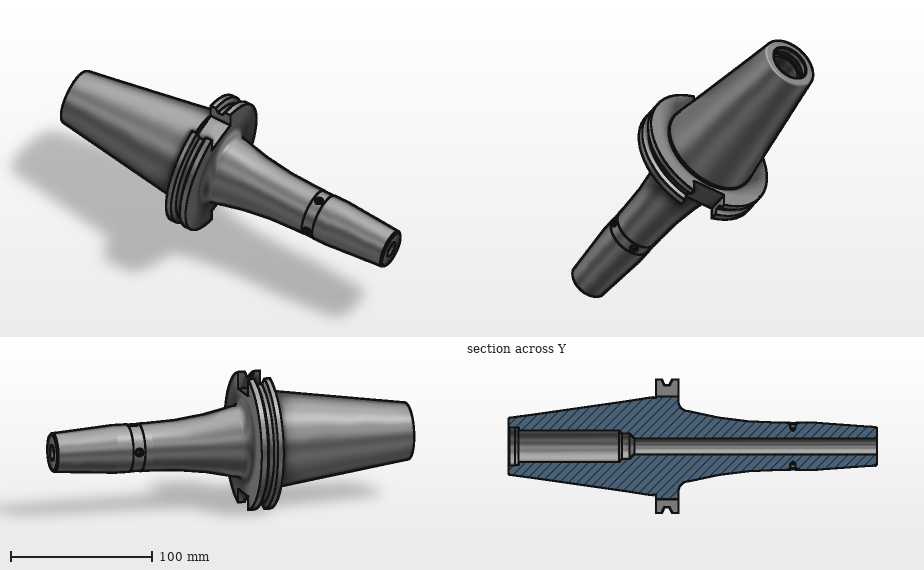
import cadquery as cq
import math

total_length = 261.5
taper_end = 101.8
relief_start = 102.8
flange_start = 104.6
flange_end = 120.9
fillet_end = 127.7
neck_end = 191.5
collar_start = 197.5
collar_end = 206.1
nose_start = 217.0

taper_small_radius = 20.27
taper_large_radius = 34.92
taper_edge_radius = 1.5
relief_radius = 34.5

flange_radius = 49.2
groove_radius = 45.3
groove_floor_width = 3.7
groove_mouth_width = 7.3
groove_center = 112.5
slot_width = 25.6
upper_slot_floor = 35.3
lower_slot_floor = 37.7

neck_start_radius = 25.0
nose_radius = 17.0
collar_radius = 16.7
nose_tip_radius = 13.9
tip_chamfer = 1.0

entry_radius = 14.0
entry_chamfer = 0.65
counterbore_radius = 13.3
counterbore_depth = 4.7
pilot_radius = 13.2
pilot_depth = 7.3
main_bore_radius = 11.12
main_bore_depth = 78.5
seat_radius = 9.03
seat_length = 5.2
through_radius = 5.5

screw_hole_count = 4
screw_mouth_radius = 2.75
screw_mouth_depth = 0.5
screw_hole_radius = 1.8
screw_hole_depth = 4.0


def make_body():
    """Revolve the outer outline; each point is (axial place, radius)."""
    taper_slope = (taper_large_radius - taper_small_radius) / taper_end
    edge_end_radius = taper_small_radius + taper_slope * taper_edge_radius
    edge_face_radius = edge_end_radius - taper_edge_radius
    diagonal = math.sqrt(0.5)
    edge_mid = (
        taper_edge_radius * (1 - diagonal),
        edge_face_radius + taper_edge_radius * diagonal,
    )

    neck_length = neck_end - fillet_end
    neck_drop = neck_start_radius - nose_radius
    neck_arc_radius = (neck_length**2 + neck_drop**2) / (2 * neck_drop)
    neck_angle = math.asin(neck_length / neck_arc_radius)
    neck_mid = (
        neck_end - neck_arc_radius * math.sin(neck_angle / 2),
        nose_radius + neck_arc_radius * (1 - math.cos(neck_angle / 2)),
    )

    fillet_radius = fillet_end - flange_end
    fillet_face_radius = neck_start_radius + fillet_radius
    fillet_mid = (
        fillet_end - fillet_radius * diagonal,
        fillet_face_radius - fillet_radius * diagonal,
    )

    outline = (
        cq.Workplane("XY")
        .moveTo(0, 0)
        .lineTo(0, edge_face_radius)
        .threePointArc(edge_mid, (taper_edge_radius, edge_end_radius))
        .lineTo(taper_end, taper_large_radius)
        .lineTo(relief_start, taper_large_radius)
        .lineTo(relief_start, relief_radius)
        .lineTo(flange_start, relief_radius)
        .lineTo(flange_start, flange_radius)
        .lineTo(groove_center - groove_mouth_width / 2, flange_radius)
        .lineTo(groove_center - groove_floor_width / 2, groove_radius)
        .lineTo(groove_center + groove_floor_width / 2, groove_radius)
        .lineTo(groove_center + groove_mouth_width / 2, flange_radius)
        .lineTo(flange_end, flange_radius)
        .lineTo(flange_end, fillet_face_radius)
        .threePointArc(fillet_mid, (fillet_end, neck_start_radius))
        .threePointArc(neck_mid, (neck_end, nose_radius))
        .lineTo(collar_start, nose_radius)
        .lineTo(collar_start, collar_radius)
        .lineTo(collar_end, collar_radius)
        .lineTo(collar_end, nose_radius)
        .lineTo(nose_start, nose_radius)
        .lineTo(total_length - tip_chamfer, nose_tip_radius)
        .lineTo(total_length, nose_tip_radius - tip_chamfer)
        .lineTo(total_length, 0)
        .close()
    )
    return outline.revolve(360, (0, 0, 0), (1, 0, 0))


def make_bore():
    """Stepped bore along the axis, with conical steps."""
    seat_start = main_bore_depth + main_bore_radius - seat_radius
    seat_end = seat_start + seat_length
    through_start = seat_end + seat_radius - through_radius
    outline = (
        cq.Workplane("XY")
        .moveTo(0, 0)
        .lineTo(0, entry_radius)
        .lineTo(entry_chamfer, counterbore_radius)
        .lineTo(counterbore_depth, counterbore_radius)
        .lineTo(counterbore_depth, pilot_radius)
        .lineTo(pilot_depth, pilot_radius)
        .lineTo(pilot_depth, main_bore_radius)
        .lineTo(main_bore_depth, main_bore_radius)
        .lineTo(seat_start, seat_radius)
        .lineTo(seat_end, seat_radius)
        .lineTo(through_start, through_radius)
        .lineTo(total_length, through_radius)
        .lineTo(total_length, 0)
        .close()
    )
    return outline.revolve(360, (0, 0, 0), (1, 0, 0))


def make_drive_slot(floor_height, side):
    """Slot through the flange above (side = 1) or below (side = -1) the axis."""
    length = flange_end - flange_start
    depth = flange_radius - floor_height
    center_x = (flange_start + flange_end) / 2
    center_z = side * (floor_height + depth / 2)
    return cq.Workplane("XY").box(length, slot_width, depth).translate((center_x, 0, center_z))


def make_screw_hole(angle):
    """Blind hole with a bevelled mouth and a conical bottom, turned by angle degrees."""
    center_x = (collar_start + collar_end) / 2
    mouth_height = collar_radius - screw_mouth_depth
    bevel_height = mouth_height - (screw_mouth_radius - screw_hole_radius)
    floor_height = collar_radius - screw_hole_depth
    outline = (
        cq.Workplane("XZ", origin=(center_x, 0, 0))
        .moveTo(0, nose_radius)
        .lineTo(screw_mouth_radius, nose_radius)
        .lineTo(screw_mouth_radius, mouth_height)
        .lineTo(screw_hole_radius, bevel_height)
        .lineTo(screw_hole_radius, floor_height)
        .lineTo(0, floor_height - screw_hole_radius)
        .close()
    )
    hole = outline.revolve(360, (0, 0, 0), (0, 1, 0))
    return hole.rotate((0, 0, 0), (1, 0, 0), angle)


result = make_body().cut(make_bore())
result = result.cut(make_drive_slot(upper_slot_floor, 1))
result = result.cut(make_drive_slot(lower_slot_floor, -1))
for index in range(screw_hole_count):
    result = result.cut(make_screw_hole(index * 360 / screw_hole_count))